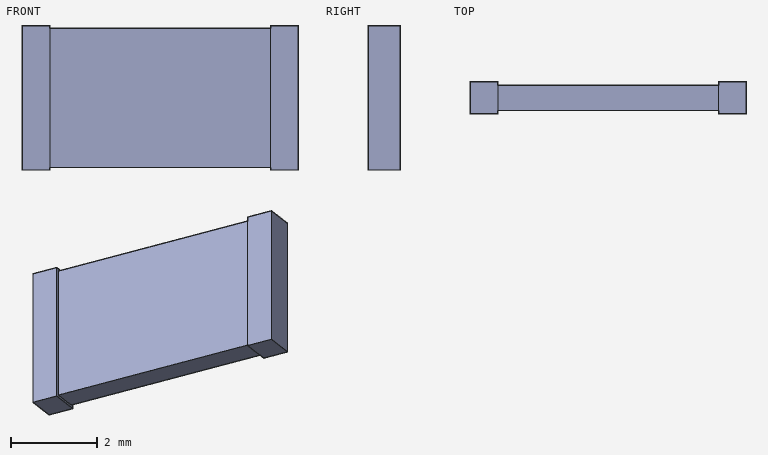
import cadquery as cq

length = 6.4
terminal_length = 0.64
terminal_thickness = 0.75
terminal_height = 3.35

face_step = 0.08
edge_step = 0.06

plate_length = length - 2 * terminal_length
plate_thickness = terminal_thickness - 2 * face_step
plate_height = terminal_height - 2 * edge_step
result = cq.Workplane("XY").box(plate_length, plate_thickness, plate_height)

terminal = cq.Workplane("XY").box(terminal_length, terminal_thickness, terminal_height)
terminal_offset = (length - terminal_length) / 2
for side in (-1, 1):
    result = result.union(terminal.translate((side * terminal_offset, 0, 0)))